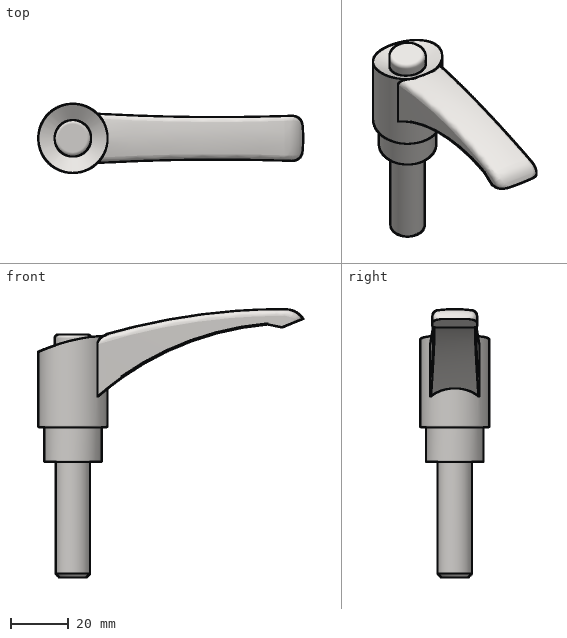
import cadquery as cq
import math

OVERALL_LENGTH = 91.68
OVERALL_HEIGHT = 92.93

STUD_DIAMETER = 12.0
STUD_LENGTH = 40.0
STUD_CHAMFER = 1.4
COLLAR_DIAMETER = 20.0
COLLAR_HEIGHT = 12.0
HUB_RADIUS = 12.0
EDGE_ROUND = 0.5

RIM_LOW_Z = 38.1
RIM_MIDDLE_Z = 42.1
RIM_HIGH_Z = 43.7
DISH_FLOOR_MIDDLE_Z = 38.9
DISH_FLOOR_SLOPE = 0.15
DISH_OVERSIZE = 1.0
RING_POINTS = 48
SCREW_DIAMETER = 12.65
SCREW_TOP_Z = 44.1
SCREW_ROUND = 1.4

ARM_ROOT_X = 4.0
ARM_TIP_X = OVERALL_LENGTH - HUB_RADIUS
ARM_TOP_Z = OVERALL_HEIGHT - STUD_LENGTH
ARM_TOP_END_X = 73.2
ARM_TOP_ROOT_Z = 41.9
NOSE_TIP_Z = 49.5
CHIN = (72.3, 46.5)
UNDERSIDE_END = (67.3, 47.5)
UNDERSIDE_MIDDLE = (33.8, 38.8)
UNDERSIDE_ROOT_Z = 18.3

ROOT_HALF_WIDTH = 8.8
WAIST_X = 45.0
WAIST_HALF_WIDTH = 7.4
TIP_HALF_WIDTH = 8.0
TIP_CORNER_RADIUS = 4.0
CROWN_RADIUS = 40.0

TOP_SECTOR_ANGLE = 30.0
NOSE_SECTOR_ANGLE = 90.0

ARM_TOP_ROUND = 2.1
ARM_BOTTOM_ROUND = 0.4


def cylinder(diameter, bottom, top):
    return cq.Workplane("XY").workplane(offset=bottom).circle(diameter / 2).extrude(top - bottom)


def rim_height(x):
    """Height of the hub rim: a parabola through its low, middle and high points."""
    slope = (RIM_HIGH_Z - RIM_LOW_Z) / (2 * HUB_RADIUS)
    bend = ((RIM_HIGH_Z + RIM_LOW_Z) / 2 - RIM_MIDDLE_Z) / HUB_RADIUS**2
    return RIM_MIDDLE_Z + slope * x + bend * x**2


def floor_height(x):
    """Height of the tilted dish floor."""
    return DISH_FLOOR_MIDDLE_Z + DISH_FLOOR_SLOPE * x


def ring_edge(radius, height):
    """Closed edge above a circle about Z, with height(direction) giving z; direction is the cosine."""

    def point(t):
        angle = 2 * math.pi * t
        return (radius * math.cos(angle), radius * math.sin(angle), height(math.cos(angle)))

    return cq.Workplane("XY").parametricCurve(point, N=RING_POINTS).edges().val()


def dish_cutter():
    """Space above the dished hub top, reaching a little outside the hub wall."""
    floor_radius = SCREW_DIAMETER / 2
    outer_radius = HUB_RADIUS + DISH_OVERSIZE
    reach = (outer_radius - floor_radius) / (HUB_RADIUS - floor_radius)
    ceiling = RIM_HIGH_Z + HUB_RADIUS

    def floor_z(direction):
        return floor_height(floor_radius * direction)

    def outer_z(direction):
        rise = rim_height(HUB_RADIUS * direction) - floor_z(direction)
        return floor_z(direction) + reach * rise

    floor_edge = ring_edge(floor_radius, floor_z)
    outer_edge = ring_edge(outer_radius, outer_z)
    ceiling_edge = ring_edge(outer_radius, lambda direction: ceiling)
    faces = [
        cq.Face.makeFromWires(cq.Wire.assembleEdges([floor_edge])),
        cq.Face.makeRuledSurface(floor_edge, outer_edge),
        cq.Face.makeRuledSurface(outer_edge, ceiling_edge),
        cq.Face.makeFromWires(cq.Wire.assembleEdges([ceiling_edge])),
    ]
    return cq.Workplane("XY").add(cq.Solid.makeSolid(cq.Shell.makeShell(faces)).fix())


def make_stud():
    return cylinder(STUD_DIAMETER, -STUD_LENGTH, 0).faces("<Z").chamfer(STUD_CHAMFER)


def make_collar():
    return cylinder(COLLAR_DIAMETER, 0, COLLAR_HEIGHT).faces("<Z").edges().fillet(EDGE_ROUND)


def make_hub():
    """Hub cylinder with a slanted, dished top."""
    hub = cylinder(2 * HUB_RADIUS, COLLAR_HEIGHT, RIM_HIGH_Z + DISH_OVERSIZE)
    hub = hub.faces("<Z").edges().fillet(EDGE_ROUND)
    return hub.cut(dish_cutter())


def make_screw_head():
    """Round screw head standing in the dish, joined through the hub."""
    return cylinder(SCREW_DIAMETER, COLLAR_HEIGHT, SCREW_TOP_Z).faces(">Z").edges().fillet(SCREW_ROUND)


def arm_profile():
    """Side outline of the arm below its top line, extruded wider than the arm."""
    ceiling = ARM_TOP_Z + HUB_RADIUS
    return (
        cq.Workplane("XZ")
        .moveTo(ARM_ROOT_X, ceiling)
        .lineTo(ARM_TIP_X, ceiling)
        .lineTo(ARM_TIP_X, NOSE_TIP_Z)
        .lineTo(*CHIN)
        .lineTo(*UNDERSIDE_END)
        .threePointArc(UNDERSIDE_MIDDLE, (ARM_ROOT_X, UNDERSIDE_ROOT_Z))
        .close()
        .extrude(HUB_RADIUS, both=True)
    )


def arm_plan():
    """Waisted plan outline of the arm, extruded taller than the arm."""
    return (
        cq.Workplane("XY")
        .moveTo(ARM_ROOT_X, -ROOT_HALF_WIDTH)
        .threePointArc((WAIST_X, -WAIST_HALF_WIDTH), (ARM_TIP_X, -TIP_HALF_WIDTH))
        .lineTo(ARM_TIP_X, TIP_HALF_WIDTH)
        .threePointArc((WAIST_X, WAIST_HALF_WIDTH), (ARM_ROOT_X, ROOT_HALF_WIDTH))
        .close()
        .extrude(ARM_TOP_Z + HUB_RADIUS)
        .edges("|Z and >X")
        .fillet(TIP_CORNER_RADIUS)
    )


def level_arc_radius(run, drop):
    """Radius of an arc that starts level and falls by drop over a horizontal run."""
    return (run**2 + drop**2) / (2 * drop)


def crowned_sector(radius, angle, turn):
    """Sector below a domed top line of the given radius, turned from its level end; turn is 1 toward +X."""
    half_width = HUB_RADIUS
    crown = CROWN_RADIUS - math.sqrt(CROWN_RADIUS**2 - half_width**2)
    return (
        cq.Workplane("YZ", origin=(ARM_TOP_END_X, 0, ARM_TOP_Z - radius))
        .moveTo(-half_width, 0)
        .lineTo(-half_width, radius - crown)
        .threePointArc((0, radius), (half_width, radius - crown))
        .lineTo(half_width, 0)
        .close()
        .revolve(angle, (0, 0, 0), (turn, 0, 0))
    )


def flank_edges(arm, points):
    """Edges of both flanks whose centres lie nearest to the given (x, z) points."""
    edges = cq.Workplane("XY")
    for x, z in points:
        for y in (-WAIST_HALF_WIDTH, WAIST_HALF_WIDTH):
            edges = edges.add(arm.edges(cq.NearestToPointSelector((x, y, z))).vals())
    return edges.vals()


def make_arm():
    """Curved lever arm with rounded flank edges, cut back to the hub wall."""
    top_radius = level_arc_radius(ARM_TOP_END_X - ARM_ROOT_X, ARM_TOP_Z - ARM_TOP_ROOT_Z)
    nose_radius = level_arc_radius(ARM_TIP_X - ARM_TOP_END_X, ARM_TOP_Z - NOSE_TIP_Z)
    blank = arm_profile().intersect(arm_plan())
    rear = blank.intersect(crowned_sector(top_radius, TOP_SECTOR_ANGLE, -1))
    nose = blank.intersect(crowned_sector(nose_radius, NOSE_SECTOR_ANGLE, 1))
    arm = rear.union(nose)

    top_points = [((ARM_ROOT_X + ARM_TIP_X) / 2, ARM_TOP_Z)]
    arm = arm.newObject([arm.val().fillet(ARM_TOP_ROUND, flank_edges(arm, top_points))])

    rise_middle = ((UNDERSIDE_END[0] + CHIN[0]) / 2, (UNDERSIDE_END[1] + CHIN[1]) / 2)
    lip_middle = ((CHIN[0] + ARM_TIP_X) / 2, (CHIN[1] + NOSE_TIP_Z) / 2)
    bottom_points = [UNDERSIDE_MIDDLE, rise_middle, lip_middle]
    arm = arm.newObject([arm.val().fillet(ARM_BOTTOM_ROUND, flank_edges(arm, bottom_points))])

    return arm.cut(cylinder(2 * HUB_RADIUS, 0, ARM_TOP_Z))


result = (
    make_stud()
    .union(make_collar())
    .union(make_hub())
    .union(make_screw_head())
    .union(make_arm())
)